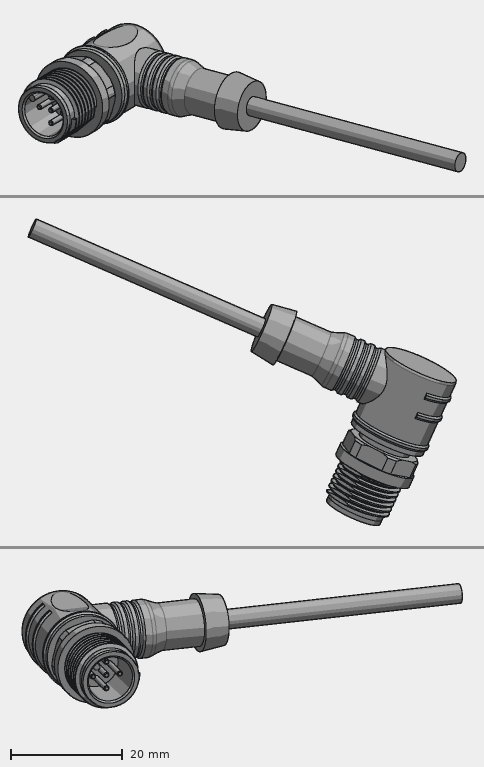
import cadquery as cq
import math


overall_length = 81.3
plug_length = 29.7

shell_radius = 7.1
shell_top = 5.45
shell_bottom = -9.35
edge_taper_length = 0.5
edge_taper_depth = 0.12

rib_radius = 7.4
rib_base_width = 1.2
rib_crest_width = 0.5
rib_embed = 0.3
bead_y = -7.8
grip_ys = (1.95, -1.95)
grip_start_angle = 124
grip_end_angle = 250

dish_center_y = -0.9
dish_half_length = 5.45
dish_half_width = 3.0

outlet_radius = 5.3
outlet_straight_end = 14.2
shoulder_mid_x = 14.95
shoulder_mid_radius = 5.1
sleeve_start = 17.15
sleeve_radius = 4.3
collar_start = 24.3
collar_end = 28.9
collar_end_radius = 4.6
groove_first_x = 8.4
groove_pitch = 1.95
groove_count = 3
groove_width = 1.2
groove_floor_width = 0.4
groove_depth = 0.3
cable_radius = 1.8
cable_end = overall_length - rib_radius

insert_radius = 4.9
tip_radius = 5.3
tip_end = shell_top - plug_length
tip_lip_length = 0.9
cavity_radius = 4.15
cavity_chamfer = 0.3
pin_radius = 0.5
pin_circle_radius = 2.5
pin_recess = 2.4
pin_tip_chamfer = 0.2
key_radius = 0.6
key_axis_offset = 3.6
key_angle = 135

nut_start = -10.7
flange_start = -13.7
flange_end = -15.8
nut_end = tip_end + tip_lip_length
flange_radius = 7.2
hex_across_flats = 12.8
hex_corner_radius = 6.9
hex_chamfer = 0.4
hex_turn = 15
thread_root_radius = tip_radius
thread_crest_radius = 6.0
thread_pitch = 1.0
thread_turns = 7
thread_start = -15.6
thread_base_width = 0.9
thread_crest_width = 0.25
thread_embed = 0.2
thread_flat_angle = -45
thread_flat_distance = 5.4

cavity_floor = flange_end


def cylinder_along_y(radius, y_from, y_to):
    """Cylinder on the Y axis between two Y positions."""
    return cq.Workplane("XZ", origin=(0, y_from, 0)).circle(radius).extrude(y_from - y_to)


def rib_ring(y):
    """Full ring of trapezoid section around the shell."""
    inner = shell_radius - rib_embed
    half_base = rib_base_width / 2
    half_crest = rib_crest_width / 2
    return (
        cq.Workplane("XY")
        .moveTo(inner, y - half_base)
        .lineTo(shell_radius, y - half_base)
        .lineTo(rib_radius, y - half_crest)
        .lineTo(rib_radius, y + half_crest)
        .lineTo(shell_radius, y + half_base)
        .lineTo(inner, y + half_base)
        .close()
        .revolve(360, (0, 0, 0), (0, 1, 0))
    )


def make_grip_sector():
    """Wedge that limits the grip ribs to the -X side."""
    reach = 2 * rib_radius
    corners = [(0, 0)]
    for angle in (grip_start_angle, (grip_start_angle + grip_end_angle) / 2, grip_end_angle):
        corners.append((reach * math.cos(math.radians(angle)), reach * math.sin(math.radians(angle))))
    return (
        cq.Workplane("XZ", origin=(0, shell_top, 0))
        .polyline(corners)
        .close()
        .extrude(shell_top - shell_bottom)
    )


def make_shell():
    shell = (
        cq.Workplane("XY")
        .moveTo(0, shell_bottom)
        .lineTo(shell_radius, shell_bottom)
        .lineTo(shell_radius, shell_top - edge_taper_length)
        .lineTo(shell_radius - edge_taper_depth, shell_top)
        .lineTo(0, shell_top)
        .close()
        .revolve(360, (0, 0, 0), (0, 1, 0))
        .union(rib_ring(bead_y))
    )
    grip_sector = make_grip_sector()
    for y in grip_ys:
        shell = shell.union(rib_ring(y).intersect(grip_sector))
    return shell


def make_dish_cutter():
    """Large cylinder along X whose underside meets the shell in an oval."""
    floor_z = math.sqrt(shell_radius**2 - dish_half_width**2)
    sagitta = shell_radius - floor_z
    radius = (dish_half_length**2 + sagitta**2) / (2 * sagitta)
    return (
        cq.Workplane("YZ", origin=(-shell_radius, 0, 0))
        .center(dish_center_y, floor_z + radius)
        .circle(radius)
        .extrude(2 * shell_radius)
    )


def make_outlet():
    """Cable outlet, collar and cable as one turned profile."""
    profile = cq.Workplane("XY").moveTo(0, 0).lineTo(0, outlet_radius)
    floor_radius = outlet_radius - groove_depth
    for index in range(groove_count):
        x = groove_first_x + index * groove_pitch
        profile = (
            profile.lineTo(x - groove_width / 2, outlet_radius)
            .lineTo(x - groove_floor_width / 2, floor_radius)
            .lineTo(x + groove_floor_width / 2, floor_radius)
            .lineTo(x + groove_width / 2, outlet_radius)
        )
    return (
        profile.lineTo(outlet_straight_end, outlet_radius)
        .tangentArcPoint((shoulder_mid_x, shoulder_mid_radius), relative=False)
        .tangentArcPoint((sleeve_start, sleeve_radius), relative=False)
        .lineTo(collar_start, sleeve_radius)
        .lineTo(collar_start, outlet_radius)
        .lineTo(collar_end, collar_end_radius)
        .lineTo(collar_end, cable_radius)
        .lineTo(cable_end, cable_radius)
        .lineTo(cable_end, 0)
        .close()
        .revolve(360, (0, 0, 0), (1, 0, 0))
    )


def make_insert():
    """Contact carrier: open tube with a lip at the tip, a coding key and five pins."""
    tube = (
        cq.Workplane("XY")
        .moveTo(0, shell_bottom)
        .lineTo(insert_radius, shell_bottom)
        .lineTo(insert_radius, nut_end)
        .lineTo(tip_radius, nut_end)
        .lineTo(tip_radius, tip_end)
        .lineTo(cavity_radius + cavity_chamfer, tip_end)
        .lineTo(cavity_radius, tip_end + cavity_chamfer)
        .lineTo(cavity_radius, cavity_floor)
        .lineTo(0, cavity_floor)
        .close()
        .revolve(360, (0, 0, 0), (0, 1, 0))
    )
    return tube.union(make_key()).union(make_pins())


def make_key():
    """Round-nosed rib along the cavity wall."""
    length = cavity_floor - (tip_end + cavity_chamfer)
    wall_overlap = (insert_radius - cavity_radius) / 2
    web_length = cavity_radius + wall_overlap - key_axis_offset
    plane = cq.Workplane("XZ", origin=(0, cavity_floor, 0))
    nose = plane.center(key_axis_offset, 0).circle(key_radius).extrude(length)
    web = (
        plane.center(key_axis_offset + web_length / 2, 0)
        .rect(web_length, 2 * key_radius)
        .extrude(length)
    )
    return nose.union(web).rotate((0, 0, 0), (0, 1, 0), -key_angle)


def make_pins():
    pin_tip = tip_end + pin_recess
    places = [(0, 0)]
    for angle in (0, 90, 180, 270):
        turn = math.radians(angle)
        places.append((pin_circle_radius * math.cos(turn), pin_circle_radius * math.sin(turn)))
    return (
        cq.Workplane("XZ", origin=(0, cavity_floor, 0))
        .pushPoints(places)
        .circle(pin_radius)
        .extrude(cavity_floor - pin_tip)
        .faces("<Y")
        .chamfer(pin_tip_chamfer)
    )


def make_connector():
    """Housing, cable outlet, cable and contact insert as one body."""
    return make_shell().union(make_outlet()).cut(make_dish_cutter()).union(make_insert())


def make_hex_grip():
    """Hexagon with turned-down corners and a chamfer toward the housing."""
    length = nut_start - flange_start
    blank = cylinder_along_y(hex_corner_radius, nut_start, flange_start).faces(">Y").chamfer(hex_chamfer)
    hexagon = (
        cq.Workplane("XZ", origin=(0, nut_start, 0))
        .polygon(6, hex_across_flats, circumscribed=True)
        .extrude(length)
        .rotate((0, 0, 0), (0, 1, 0), hex_turn)
    )
    return blank.intersect(hexagon)


def make_thread():
    """Helical ridge, built along Z and turned to run toward -Y."""
    base_radius = thread_root_radius - thread_embed
    path = cq.Wire.makeHelix(thread_pitch, thread_pitch * thread_turns, thread_root_radius)
    half_base = thread_base_width / 2
    half_crest = thread_crest_width / 2
    ridge = (
        cq.Workplane("XZ")
        .moveTo(base_radius, -half_base)
        .lineTo(thread_crest_radius, -half_crest)
        .lineTo(thread_crest_radius, half_crest)
        .lineTo(base_radius, half_base)
        .close()
        .sweep(cq.Workplane(path), isFrenet=True)
    )
    return ridge.rotate((0, 0, 0), (1, 0, 0), 90).translate((0, thread_start, 0))


def make_thread_flat_cutter():
    """Block that planes the thread crests flat along one side."""
    depth = thread_crest_radius
    return (
        cq.Workplane("XZ", origin=(0, flange_end, 0))
        .center(thread_flat_distance + depth / 2, 0)
        .rect(depth, 2 * thread_crest_radius)
        .extrude(flange_end - nut_end)
        .rotate((0, 0, 0), (0, 1, 0), -thread_flat_angle)
    )


def make_nut():
    """Coupling nut that turns on the insert behind its lip."""
    flange = cylinder_along_y(flange_radius, flange_start, flange_end)
    barrel = cylinder_along_y(thread_root_radius, flange_end, nut_end)
    threaded = barrel.union(make_thread()).cut(make_thread_flat_cutter())
    bore = cylinder_along_y(insert_radius, nut_start, nut_end)
    return threaded.union(flange).union(make_hex_grip()).cut(bore)


connector = make_connector()
coupling_nut = make_nut()

result = cq.Compound.makeCompound([connector.solids().val(), coupling_nut.solids().val()])